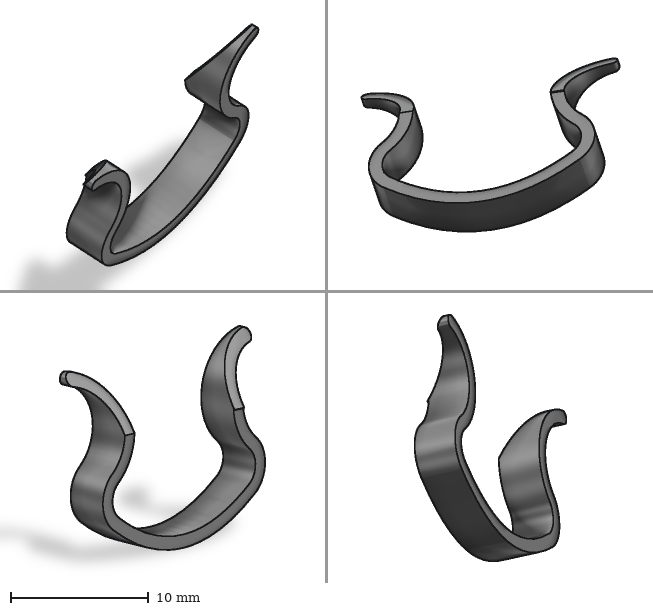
import cadquery as cq
import math

span = 19.03
band = 1.0
width = 3.3
overhang = 0.11
tip_width = 0.4
ledge_z = 9.36

lobe_radius = 2.19
lobe_y = 5.7
bow_end_angle = math.radians(36.4)
hook_radius = 4.17
hook_y = 9.78
bow_steps = 8

half_band = band / 2
bow_end_y = lobe_y + lobe_radius * math.sin(bow_end_angle)
bow_end_rise = bow_end_y * math.tan(bow_end_angle) / 2
lobe_z = half_band + bow_end_rise + lobe_radius * math.cos(bow_end_angle)

join_angle = math.acos((hook_y - lobe_y) / (lobe_radius + hook_radius))
hook_z = lobe_z + (lobe_radius + hook_radius) * math.sin(join_angle)
tip_y = span / 2 - half_band
tip_angle = math.acos((tip_y - hook_y) / hook_radius)
height = hook_z + hook_radius * math.sin(tip_angle) + half_band


def polar(center, radius, angle):
    return (center[0] + radius * math.cos(angle), center[1] + radius * math.sin(angle))


def bow_point(fraction, offset):
    """Point on the bow at a fraction of its half span, shifted outward by offset."""
    y = fraction * bow_end_y
    angle = math.atan(fraction * math.tan(bow_end_angle))
    z = half_band + bow_end_rise * fraction**2
    return (y + offset * math.sin(angle), z - offset * math.cos(angle))


def half_strip():
    """Flat +Y half of the strip, drawn in (Y, Z) and extruded along +X."""
    lobe = (lobe_y, lobe_z)
    hook = (hook_y, hook_z)
    lobe_start = bow_end_angle - math.pi / 2
    lobe_middle = (lobe_start + join_angle) / 2
    hook_start = join_angle + math.pi
    hook_middle = (hook_start + tip_angle) / 2
    tip = polar(hook, hook_radius, tip_angle)
    lobe_out = lobe_radius + half_band
    lobe_in = lobe_radius - half_band
    hook_out = hook_radius - half_band
    hook_in = hook_radius + half_band
    end_slope = (math.cos(bow_end_angle), math.sin(bow_end_angle))
    fractions = [step / bow_steps for step in range(bow_steps + 1)]
    outer_bow = [bow_point(f, half_band) for f in fractions]
    inner_bow = [bow_point(f, -half_band) for f in reversed(fractions)]
    return (
        cq.Workplane("YZ")
        .moveTo(*outer_bow[0])
        .spline(outer_bow[1:], tangents=[(1, 0), end_slope], includeCurrent=True)
        .threePointArc(polar(lobe, lobe_out, lobe_middle), polar(lobe, lobe_out, join_angle))
        .threePointArc(polar(hook, hook_out, hook_middle), polar(hook, hook_out, tip_angle))
        .threePointArc(
            polar(tip, half_band, tip_angle - math.pi / 2),
            polar(hook, hook_in, tip_angle),
        )
        .threePointArc(polar(hook, hook_in, hook_middle), polar(hook, hook_in, hook_start))
        .threePointArc(polar(lobe, lobe_in, lobe_middle), polar(lobe, lobe_in, lobe_start))
        .spline(
            inner_bow[1:],
            tangents=[(-end_slope[0], -end_slope[1]), (-1, 0)],
            includeCurrent=True,
        )
        .close()
        .extrude(width + overhang)
        .translate((-overhang, 0, 0))
    )


def trim_to_width(strip):
    """Remove the overhang everywhere except on the -Y arm above the ledge."""
    below_ledge = cq.Workplane("XY").box(overhang, span, ledge_z, centered=(False, True, False))
    plus_y_side = cq.Workplane("XY").box(overhang, span / 2, height, centered=False)
    waste = below_ledge.union(plus_y_side).translate((-overhang, 0, 0))
    return strip.cut(waste)


def bevel_arms(strip):
    """Slope the -X edge of both arms from the ledge up to the narrow tips."""
    slope = (height - ledge_z) / (width + overhang - tip_width)
    bevel_top_z = ledge_z + slope * (width + overhang)
    bevel = (
        cq.Workplane("XZ")
        .moveTo(-overhang, ledge_z)
        .lineTo(width, bevel_top_z)
        .lineTo(-overhang, bevel_top_z)
        .close()
        .extrude(span / 2, both=True)
    )
    return strip.cut(bevel)


half = half_strip()
strip = half.union(half.mirror("XZ"))
result = bevel_arms(trim_to_width(strip))